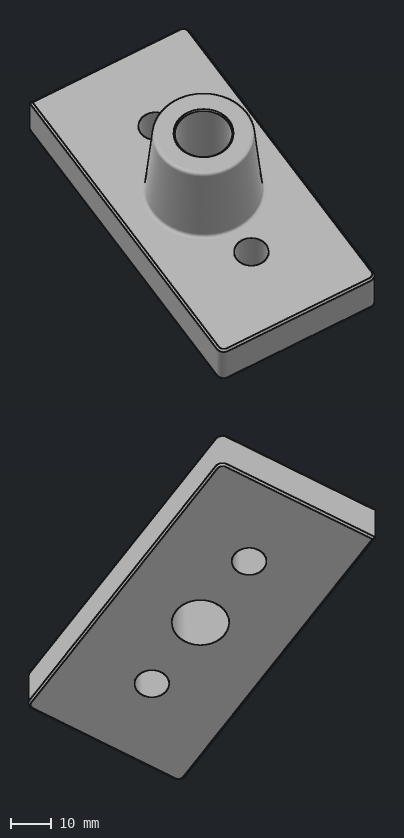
import cadquery as cq
import math

plate_length = 90.0
plate_width = 45.0
plate_height = 12.0
corner_radius = 2.0
edge_chamfer = 0.5

total_height = 35.0
boss_top_radius = 12.5
taper_angle = 5.0
boss_top_fillet = 1.0
boss_root_fillet = 1.0

bore_diameter = 14.0
bore_chamfer = 0.4
mount_hole_diameter = 8.5
mount_hole_offset = plate_length / 4

plate = (
    cq.Workplane("XY")
    .box(plate_length, plate_width, plate_height, centered=(True, True, False))
    .edges("|Z and (>X or >Y)")
    .fillet(corner_radius)
    .faces("<Z or >Z")
    .edges()
    .chamfer(edge_chamfer)
)

boss_height = total_height - plate_height
boss_root_radius = boss_top_radius + boss_height * math.tan(math.radians(taper_angle))
boss = cq.Workplane(
    cq.Solid.makeCone(boss_root_radius, boss_top_radius, boss_height, cq.Vector(0, 0, plate_height))
)
boss = boss.faces(">Z").edges().fillet(boss_top_fillet)

selection_margin = 0.1
zone_reach = boss_root_radius + selection_margin
root_zone = cq.selectors.BoxSelector(
    (-zone_reach, -zone_reach, plate_height - selection_margin),
    (zone_reach, zone_reach, plate_height + selection_margin),
    boundingbox=True,
)
body = plate.union(boss).edges(root_zone).fillet(boss_root_fillet)

bore = cq.Workplane("XY").circle(bore_diameter / 2).extrude(total_height)
body = body.cut(bore).faces(">Z").edges(cq.selectors.RadiusNthSelector(0)).chamfer(bore_chamfer)

mount_holes = (
    cq.Workplane("XY")
    .pushPoints([(-mount_hole_offset, 0), (mount_hole_offset, 0)])
    .circle(mount_hole_diameter / 2)
    .extrude(plate_height)
)
result = body.cut(mount_holes)